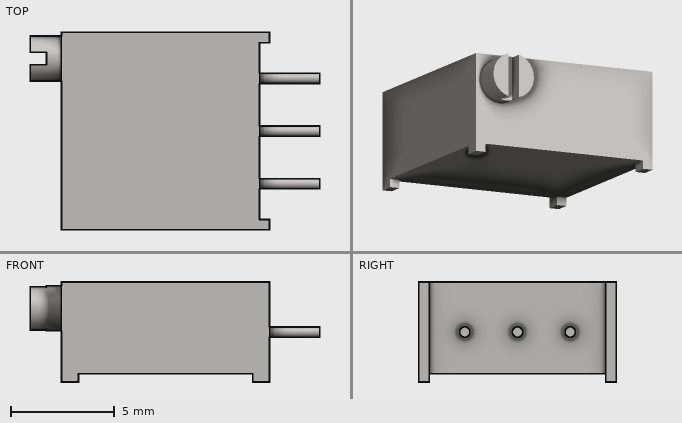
import cadquery as cq

total_length = 13.96
width = 9.53
height = 4.83

screw_length = 1.51
screw_diameter = 2.18
screw_inset = 1.27
slot_width = 0.59
slot_depth = 0.78

body_length = 10.04
foot_length = 0.82
wall = 0.52
foot_height = 0.4
recess_depth = 0.49

pin_diameter = 0.5
pin_pitch = 2.54

pin_tip_x = total_length - screw_length
recess_x = body_length - recess_depth
inner_width = width - 2 * wall


def box(x_start, length, y_size, z_start, z_size):
    """Box centred on Y that starts at the given X and Z."""
    return (
        cq.Workplane("XY")
        .box(length, y_size, z_size, centered=(False, True, False))
        .translate((x_start, 0, z_start))
    )


def rod(x_start, length, diameter, y, z):
    """Cylinder that runs along +X."""
    return (
        cq.Workplane("YZ", origin=(x_start, y, z))
        .circle(diameter / 2)
        .extrude(length)
    )


def make_housing():
    housing = box(0, body_length, width, 0, height)
    housing = housing.cut(box(0, body_length, inner_width, 0, foot_height))
    housing = housing.cut(box(foot_length, body_length - 2 * foot_length, width, 0, foot_height))
    return housing.cut(box(recess_x, recess_depth, inner_width, 0, height))


def make_screw():
    screw_y = width / 2 - screw_inset
    screw_z = height - screw_inset
    screw = rod(-screw_length, screw_length, screw_diameter, screw_y, screw_z)
    slot = box(-screw_length, slot_depth, slot_width, 0, height)
    return screw.cut(slot.translate((0, screw_y, 0)))


result = make_housing().union(make_screw())
for y in (-pin_pitch, 0, pin_pitch):
    pin = rod(recess_x, pin_tip_x - recess_x, pin_diameter, y, height / 2)
    result = result.union(pin)